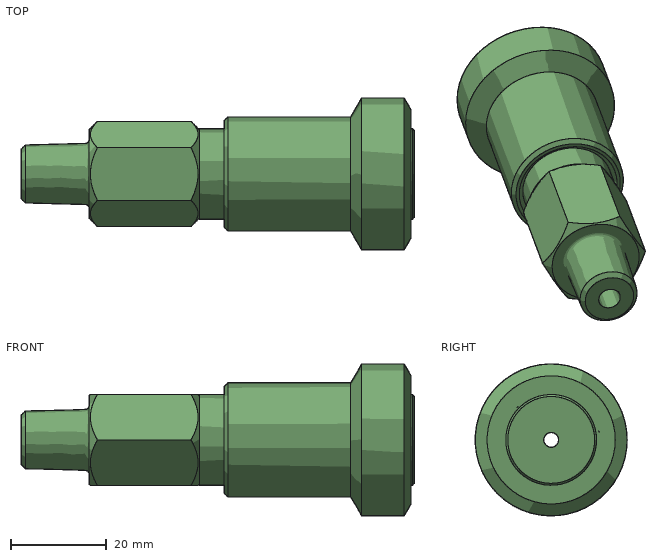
import cadquery as cq
import math

TAPER_START = 0.9
TAPER_END = 13.4
HEX_START = 14.2
HEX_END = 37.2
SLEEVE_START = 42.3
KNOB_START = 68.75
KNOB_RIM_START = 71.05
KNOB_RIM_END = 79.9
KNOB_END = 81.4
LENGTH = 82.0

TIP_DIAMETER = 10.3
TAPER_SMALL_DIAMETER = 12.15
TAPER_LARGE_DIAMETER = 12.8
HEX_FLATS = 19.0
HEX_FACE_DIAMETER = 18.55
NECK_DIAMETER = 18.95
SLEEVE_DIAMETER = 23.9
SLEEVE_CHAMFER = 0.8
RECESS_DIAMETER = 20.8
KNOB_DIAMETER = 31.75
KNOB_BACK_DIAMETER = 26.75
BUTTON_DIAMETER = 18.95
BUTTON_CHAMFER = 0.4

BORE_DIAMETER = 3.0
TIP_BORE_DIAMETER = 4.6
TIP_BORE_DEPTH = HEX_START
DRILL_POINT_ANGLE = 118

FULL_TURN = 360
QUARTER_TURN = 90


def revolve_about_x(profile):
    """Revolve a profile in the XY plane, with Y as radius, about the X axis."""
    return profile.close().revolve(FULL_TURN, (0, 0, 0), (1, 0, 0))


def cylinder(start, end, diameter):
    return cq.Workplane("YZ", origin=(start, 0, 0)).circle(diameter / 2).extrude(end - start)


def make_nozzle():
    """Tapered tip, flared into the hexagon face by a fillet."""
    root_radius = TAPER_LARGE_DIAMETER / 2
    fillet_radius = HEX_START - TAPER_END
    profile = (
        cq.Workplane("XY")
        .lineTo(0, TIP_DIAMETER / 2)
        .lineTo(TAPER_START, TAPER_SMALL_DIAMETER / 2)
        .lineTo(TAPER_END, root_radius)
        .radiusArc((HEX_START, root_radius + fillet_radius), -fillet_radius)
        .lineTo(HEX_START, 0)
    )
    return revolve_about_x(profile)


def make_hexagon():
    """Hexagon with top and bottom flats and 45 degree turned corners."""
    prism = (
        cq.Workplane("YZ", origin=(HEX_START, 0, 0))
        .polygon(6, HEX_FLATS, circumscribed=True)
        .extrude(HEX_END - HEX_START)
    )
    chamfer = (KNOB_DIAMETER - HEX_FACE_DIAMETER) / 2
    turning_envelope = cylinder(HEX_START, HEX_END, KNOB_DIAMETER).faces("<X or >X").chamfer(chamfer)
    return prism.rotate((0, 0, 0), (1, 0, 0), QUARTER_TURN).intersect(turning_envelope)


def make_sleeve():
    """Plain grip with a 45 degree conical recess around the neck."""
    sleeve = cylinder(SLEEVE_START, KNOB_START, SLEEVE_DIAMETER)
    neck_radius = NECK_DIAMETER / 2
    recess_radius = RECESS_DIAMETER / 2
    recess_depth = recess_radius - neck_radius
    recess = revolve_about_x(
        cq.Workplane("XY")
        .moveTo(SLEEVE_START, neck_radius)
        .lineTo(SLEEVE_START, recess_radius)
        .lineTo(SLEEVE_START + recess_depth, neck_radius)
    )
    return sleeve.faces("<X").chamfer(SLEEVE_CHAMFER).cut(recess)


def make_knob():
    profile = (
        cq.Workplane("XY")
        .moveTo(KNOB_START, 0)
        .lineTo(KNOB_START, SLEEVE_DIAMETER / 2)
        .lineTo(KNOB_RIM_START, KNOB_DIAMETER / 2)
        .lineTo(KNOB_RIM_END, KNOB_DIAMETER / 2)
        .lineTo(KNOB_END, KNOB_BACK_DIAMETER / 2)
        .lineTo(KNOB_END, 0)
    )
    return revolve_about_x(profile)


def make_button():
    button = cylinder(KNOB_END, LENGTH, BUTTON_DIAMETER)
    return button.faces(">X").chamfer(BUTTON_CHAMFER)


def make_bore():
    """Through bore, drilled wider from the tip and ending in a drill cone."""
    tip_radius = TIP_BORE_DIAMETER / 2
    bore_radius = BORE_DIAMETER / 2
    cone_length = (tip_radius - bore_radius) / math.tan(math.radians(DRILL_POINT_ANGLE / 2))
    profile = (
        cq.Workplane("XY")
        .lineTo(0, tip_radius)
        .lineTo(TIP_BORE_DEPTH, tip_radius)
        .lineTo(TIP_BORE_DEPTH + cone_length, bore_radius)
        .lineTo(LENGTH, bore_radius)
        .lineTo(LENGTH, 0)
    )
    return revolve_about_x(profile)


neck = cylinder(HEX_END, SLEEVE_START, NECK_DIAMETER)
outside = make_nozzle()
for section in (make_hexagon(), neck, make_sleeve(), make_knob(), make_button()):
    outside = outside.union(section)

result = outside.cut(make_bore())